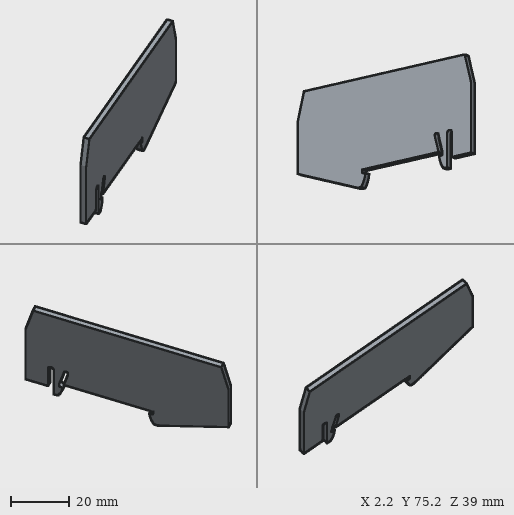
import cadquery as cq
import math

thickness = 2.2
length = 75.2
height = 39.0

half_length = length / 2
shoulder_inset = 2.7
shoulder_drop = 10.3
slope_start_z = 9.9
slope_end_y = 11.5
clip_end_z = 3.3

ledge_z = 6.2
recess_wall_y = 9.6
hook_top_z = 4.7
fixed_tip_y = 8.2
clip_tip_y = -23.8
hook_foot_inset = 1.8
hook_bulge = 0.34
recess_fillet = 0.7

slot_width = 2.0
slot_inner_y = -27.2
slot_top_z = 13.15

lean_angle = math.radians(15)
lean_width = 1.5
lean_center_y = -22.6
lean_center_z = 12.4


def lean_slot_point(side, z):
    """Point at height z on a wall of the leaning slot; side is +1 or -1 in Y."""
    center_y = lean_center_y - (lean_center_z - z) * math.tan(lean_angle)
    return (center_y + side * lean_width / 2 / math.cos(lean_angle), z)


def lean_slot_tangent(side):
    """Point where a wall of the leaning slot meets its round end."""
    radius = lean_width / 2
    return (
        lean_center_y + side * radius * math.cos(lean_angle),
        lean_center_z - side * radius * math.sin(lean_angle),
    )


def hook_arc_middle(tip, foot, outward):
    """Middle of a hook's curved nose, bowed from its chord; outward is a Y sign."""
    chord_y = foot[0] - tip[0]
    chord_z = foot[1] - tip[1]
    chord = math.hypot(chord_y, chord_z)
    return (
        (tip[0] + foot[0]) / 2 + outward * hook_bulge * abs(chord_z) / chord,
        (tip[1] + foot[1]) / 2 - hook_bulge * abs(chord_y) / chord,
    )


fixed_tip = (fixed_tip_y, hook_top_z)
fixed_foot = (fixed_tip_y + hook_foot_inset, 0)
clip_tip = (clip_tip_y, hook_top_z)
clip_foot = (clip_tip_y - hook_foot_inset, 0)

lean_end = (
    lean_center_y + lean_width / 2 * math.sin(lean_angle),
    lean_center_z + lean_width / 2 * math.cos(lean_angle),
)
slot_radius = slot_width / 2
slot_outer_y = slot_inner_y - slot_width
slot_tangent_z = slot_top_z - slot_radius

fixed_corner = (recess_wall_y, hook_top_z)
clip_corner = lean_slot_point(-1, hook_top_z)

outline = (
    cq.Workplane("YZ")
    .moveTo(half_length - shoulder_inset, height)
    .lineTo(half_length, height - shoulder_drop)
    .lineTo(half_length, slope_start_z)
    .lineTo(slope_end_y, 0)
    .lineTo(*fixed_foot)
    .threePointArc(hook_arc_middle(fixed_tip, fixed_foot, -1), fixed_tip)
    .lineTo(*fixed_corner)
    .lineTo(recess_wall_y, ledge_z)
    .lineTo(*lean_slot_point(1, ledge_z))
    .lineTo(*lean_slot_tangent(1))
    .threePointArc(lean_end, lean_slot_tangent(-1))
    .lineTo(*clip_corner)
    .lineTo(*clip_tip)
    .threePointArc(hook_arc_middle(clip_tip, clip_foot, 1), clip_foot)
    .lineTo(slot_inner_y, 0)
    .lineTo(slot_inner_y, slot_tangent_z)
    .threePointArc((slot_inner_y - slot_radius, slot_top_z), (slot_outer_y, slot_tangent_z))
    .lineTo(slot_outer_y, clip_end_z)
    .lineTo(-half_length, clip_end_z)
    .lineTo(-half_length, height - shoulder_drop)
    .lineTo(-half_length + shoulder_inset, height)
    .close()
)

plate = outline.extrude(thickness / 2, both=True)
for corner_y, corner_z in (fixed_corner, clip_corner):
    nearest_edge = cq.selectors.NearestToPointSelector((0, corner_y, corner_z))
    plate = plate.edges("|X").edges(nearest_edge).fillet(recess_fillet)

result = plate